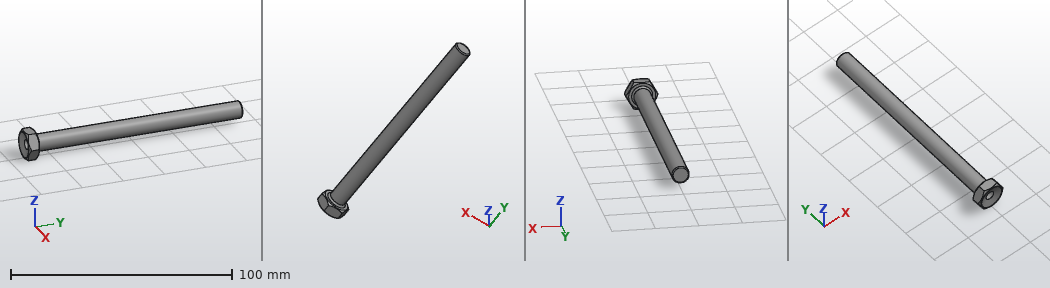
import cadquery as cq
import math

total_length = 105.3
shank_diameter = 8.0
tip_chamfer = 0.5

across_flats = 13.0
across_corners = across_flats / math.cos(math.pi / 6)
head_height = 5.3
head_face_diameter = 12.4
corner_chamfer_height = 1.0

neck_diameter = 9.7
neck_length = 1.0

dish_diameter = 11.8
dish_depth = 1.3
hole_diameter = 4.4
hole_depth = 5.3
drill_point_angle = 118.0


def revolve_about_y(points):
    """Revolve a closed (radius, y) outline about the bolt axis."""
    return cq.Workplane("XY").polyline(points).close().revolve(360, (0, 0), (0, 1))


def make_head():
    """Hexagonal prism with its corners turned off conically at both ends."""
    hexagon = (
        cq.Workplane("XZ")
        .polygon(6, across_corners)
        .extrude(-head_height)
    )
    face_radius = head_face_diameter / 2
    corner_radius = across_corners / 2
    turned_envelope = revolve_about_y([
        (0, 0),
        (face_radius, 0),
        (corner_radius, corner_chamfer_height),
        (corner_radius, head_height - corner_chamfer_height),
        (face_radius, head_height),
        (0, head_height),
    ])
    return hexagon.intersect(turned_envelope)


def make_shank():
    """Neck cone, plain shank and chamfered tip, rooted inside the head."""
    shank_radius = shank_diameter / 2
    root = head_height / 2
    return revolve_about_y([
        (0, root),
        (neck_diameter / 2, root),
        (neck_diameter / 2, head_height),
        (shank_radius, head_height + neck_length),
        (shank_radius, total_length - tip_chamfer),
        (shank_radius - tip_chamfer, total_length),
        (0, total_length),
    ])


def make_recess():
    """Conical dish leading into a blind hole with a drill point."""
    hole_radius = hole_diameter / 2
    point_depth = hole_radius / math.tan(math.radians(drill_point_angle / 2))
    return revolve_about_y([
        (0, 0),
        (dish_diameter / 2, 0),
        (hole_radius, dish_depth),
        (hole_radius, hole_depth),
        (0, hole_depth + point_depth),
    ])


result = make_head().union(make_shank()).cut(make_recess())